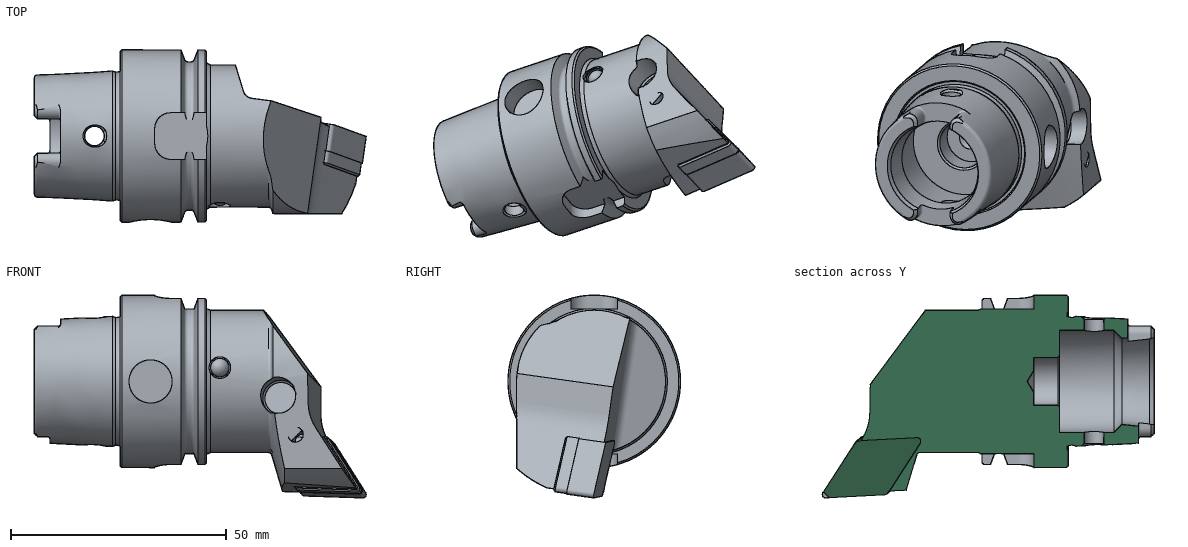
import cadquery as cq
import math

SHANK_LENGTH = 19.9
SHANK_END_RADIUS = 14.2
SHANK_BASE_RADIUS = 15.1
SHANK_END_FILLET = 0.8
RELIEF_START = -1.8
RELIEF_FLAT_START = -1.05
RELIEF_FLAT_END = -0.55
RELIEF_RADIUS = 14.85
FACE_RECESS_RADIUS = 16.1
FACE_RECESS_DEPTH = 0.3

FLANGE_RADIUS = 20.0
FLANGE_END = 20.0
FLANGE_CHAMFER = 0.4
GROOVE_START = 14.1
GROOVE_END = 18.0
GROOVE_WALL_RUN = 1.05
GROOVE_FLOOR_RADIUS = 17.2
GROOVE_FLOOR_FILLET = 0.7

NECK_RADIUS = 16.5
NECK_ROOT_STEP = 0.9

MOUTH_RADIUS = 11.1
MOUTH_CHAMFER = 1.1
BORE_RADIUS = 10.6
BORE_TAPER_END_X = -12.4
LIP_RADIUS = 9.95
UNDERCUT_RADIUS = 11.8
FLOOR_X = 2.0
DUCT_RADIUS = 5.5
DUCT_CHAMFER = 0.45
DUCT_END_X = 8.0
DRILL_RADIUS = 2.5
DRILL_POINT_LENGTH = 1.5

SLOT_HALF_WIDTH = 3.95
SLOT_EDGE_RADIUS = 2.0
SLOT_EDGE_HEIGHT = 12.85
SLOT_EDGE_SLOPE = 19.0
SLOT_MOUTH_CHAMFER = 0.8
SLOT_FLOOR_FILLET = 0.5
TOP_SLOT_DEPTH = 6.1
BOTTOM_SLOT_DEPTH = 3.6

CROSS_HOLE_X = -5.95
CROSS_HOLE_RADIUS = 2.25
CROSS_HOLE_CHAMFER = 0.6
CROSS_HOLE_RIM_Z = 14.35

KEYWAY_START = 8.0
KEYWAY_WIDTH = 10.8
KEYWAY_CORNER_RADIUS = 3.7
KEYWAY_FLOOR = 16.8

CHIP_HOLE_X = 7.05
CHIP_HOLE_RADIUS = 5.0
CHIP_HOLE_DEPTH = 4.6

BALL_X = 23.1
BALL_Z = 3.2
BALL_RADIUS = 2.15
BALL_RIM_RADIUS = 2.5
BALL_RIM_START = 15.35
BALL_TOP = 16.1

HEAD_START = 34.9
HEAD_CONE_ANGLE = 16.7
HEAD_ROOT_FILLET = 0.75
HEAD_SIDE = 18.0
HEAD_RADIUS = 27.0

TIP_X = 57.0
TIP_Z = -27.0
RAKE_TILT = 8.0
END_CLEARANCE = 3.0

INSERT_ANGLE = 55.0
INSERT_CIRCLE = 12.7
INSERT_THICKNESS = 6.35
INSERT_NOSE_RADIUS = 0.8
SHIM_THICKNESS = 3.18
SHIM_SETBACK = 0.3
SHIM_CHAMFER = 0.4

FACE_BELOW_RAKE = 0.5
FLANK_INSET = 0.85
BOTTOM_INSET = 0.8

STEP_U = -9.7
STEP_TOP_V = 25.3
SLOPE_ANGLE = 54.1
STEP_FILLET = 11.0

SHOULDER_X = 26.7
SHOULDER_LEAN = 17.0
SHOULDER_FILLET = 2.5

SIDE_HOLE_U = -16.65
SIDE_HOLE_V = 20.3
SIDE_HOLE_RADIUS = 4.15
SIDE_HOLE_BOTTOM = 18.3
SIDE_HOLE_CHAMFER = 0.45

LEVER_HOLE_U = -12.75
LEVER_HOLE_V = 11.3
LEVER_HOLE_RADIUS = 1.75
LEVER_HOLE_END = 21.65

FAR = 100.0


tilt = math.tan(math.radians(RAKE_TILT))
w_axis = cq.Vector(-tilt, -1, tilt).normalized()
v_axis = cq.Vector(0, tilt, 1).normalized()
u_axis = v_axis.cross(w_axis)
nose_reach = INSERT_NOSE_RADIUS * math.sqrt(1 - w_axis.x**2)
nose_origin = (TIP_X - nose_reach, 0, TIP_Z + nose_reach)
rake_plane = cq.Plane(origin=nose_origin, xDir=u_axis, normal=w_axis)


def at_depth(depth):
    return cq.Workplane(rake_plane).workplane(offset=depth)


def direction(angle):
    return math.cos(math.radians(angle)), math.sin(math.radians(angle))


def along(start, heading, distance):
    return start[0] + distance * heading[0], start[1] + distance * heading[1]


def meet(start_a, heading_a, start_b, heading_b):
    """Point where two lines cross."""
    cross = heading_a[0] * heading_b[1] - heading_a[1] * heading_b[0]
    gap = (start_b[0] - start_a[0], start_b[1] - start_a[1])
    distance = (gap[0] * heading_b[1] - gap[1] * heading_b[0]) / cross
    return along(start_a, heading_a, distance)


bottom_edge = direction(180 - END_CLEARANCE)
flank_edge = direction(180 - END_CLEARANCE - INSERT_ANGLE)
bisector = direction(180 - END_CLEARANCE - INSERT_ANGLE / 2)
flank_inward = direction(270 - END_CLEARANCE - INSERT_ANGLE)
bottom_inward = direction(90 - END_CLEARANCE)

half_angle_sine = math.sin(math.radians(INSERT_ANGLE / 2))
insert_edge = INSERT_CIRCLE / math.sin(math.radians(INSERT_ANGLE))
nose_centre = (0, 0)
sharp_tip = along(nose_centre, bisector, -INSERT_NOSE_RADIUS / half_angle_sine)


def rhombus(corner, depth, thickness):
    right = along(corner, flank_edge, insert_edge)
    left = along(corner, bottom_edge, insert_edge)
    far_corner = along(right, bottom_edge, insert_edge)
    return (
        at_depth(depth)
        .polyline([corner, right, far_corner, left]).close()
        .extrude(thickness)
        .edges(cq.selectors.ParallelDirSelector(w_axis))
        .fillet(INSERT_NOSE_RADIUS)
    )


shim_corner = along(sharp_tip, bisector, SHIM_SETBACK)
seat_depth = INSERT_THICKNESS + SHIM_THICKNESS


def make_insert():
    return rhombus(sharp_tip, 0, INSERT_THICKNESS)


def make_shim():
    blank = rhombus(shim_corner, INSERT_THICKNESS, SHIM_THICKNESS)
    return blank.faces(cq.selectors.DirectionMinMaxSelector(w_axis)).chamfer(SHIM_CHAMFER)


ball_centre_y = BALL_RADIUS - BALL_TOP


def make_ball():
    return cq.Workplane("XY").sphere(BALL_RADIUS).translate((BALL_X, ball_centre_y, BALL_Z))


def revolve_about_x(outline):
    return outline.close().revolve(360, (0, 0, 0), (1, 0, 0))


def make_turned_body():
    outline = (
        cq.Workplane("XZ")
        .moveTo(-SHANK_LENGTH, 0)
        .lineTo(-SHANK_LENGTH, SHANK_END_RADIUS - SHANK_END_FILLET)
        .radiusArc((SHANK_END_FILLET - SHANK_LENGTH, SHANK_END_RADIUS), SHANK_END_FILLET)
        .lineTo(RELIEF_START, SHANK_BASE_RADIUS)
        .lineTo(RELIEF_FLAT_START, RELIEF_RADIUS)
        .lineTo(RELIEF_FLAT_END, RELIEF_RADIUS)
        .lineTo(FACE_RECESS_DEPTH, SHANK_BASE_RADIUS)
        .lineTo(FACE_RECESS_DEPTH, FACE_RECESS_RADIUS - FACE_RECESS_DEPTH)
        .lineTo(0, FACE_RECESS_RADIUS)
        .lineTo(0, FLANGE_RADIUS - FLANGE_CHAMFER)
        .lineTo(FLANGE_CHAMFER, FLANGE_RADIUS)
        .lineTo(GROOVE_START, FLANGE_RADIUS)
        .lineTo(GROOVE_START + GROOVE_WALL_RUN, GROOVE_FLOOR_RADIUS)
        .lineTo(GROOVE_END - GROOVE_WALL_RUN, GROOVE_FLOOR_RADIUS)
        .lineTo(GROOVE_END, FLANGE_RADIUS)
        .lineTo(FLANGE_END - FLANGE_CHAMFER, FLANGE_RADIUS)
        .lineTo(FLANGE_END, FLANGE_RADIUS - FLANGE_CHAMFER)
        .lineTo(FLANGE_END, NECK_RADIUS + NECK_ROOT_STEP / 2)
        .lineTo(FLANGE_END + NECK_ROOT_STEP, NECK_RADIUS)
        .lineTo(HEAD_START, NECK_RADIUS)
        .lineTo(HEAD_START, 0)
    )
    groove_floor = cq.selectors.BoxSelector((GROOVE_START, -1, -1), (GROOVE_END, 1, 1))
    smallest_circles = cq.selectors.RadiusNthSelector(0)
    body = revolve_about_x(outline)
    return body.edges(groove_floor).edges(smallest_circles).fillet(GROOVE_FLOOR_FILLET)


def make_head_blank():
    """Conical back, R18 crown above the axis, flat side and R27 belly below it."""
    lean = math.radians(HEAD_CONE_ANGLE)
    belly_start = HEAD_START + (HEAD_RADIUS - NECK_RADIUS) * math.tan(lean)
    trim = HEAD_ROOT_FILLET * math.tan((math.pi / 2 - lean) / 2)
    root_start = (HEAD_START - trim, NECK_RADIUS)
    root_end = (HEAD_START + trim * math.sin(lean), NECK_RADIUS + trim * math.cos(lean))
    cone = revolve_about_x(
        cq.Workplane("XZ")
        .moveTo(root_start[0], 0)
        .lineTo(*root_start)
        .radiusArc(root_end, -HEAD_ROOT_FILLET)
        .lineTo(belly_start, HEAD_RADIUS)
        .lineTo(FAR, HEAD_RADIUS)
        .lineTo(FAR, 0)
    )
    crown = cq.Workplane("YZ").circle(HEAD_SIDE).extrude(FAR)
    belly = cq.Workplane("XY").box(FAR, FAR, FAR, centered=False).translate((0, -HEAD_SIDE, -FAR))
    return cone.intersect(crown.union(belly))


def make_head_prism():
    """Prism along W that trims the slope, the step, the flank and the bottom of the head."""
    slope = direction(180 - SLOPE_ANGLE)
    step_top = (STEP_U, STEP_TOP_V)
    flank_point = along(nose_centre, flank_inward, FLANK_INSET - INSERT_NOSE_RADIUS)
    bottom_point = along(nose_centre, bottom_inward, BOTTOM_INSET - INSERT_NOSE_RADIUS)
    step_bottom = meet(step_top, (0, -1), flank_point, flank_edge)
    nose = meet(flank_point, flank_edge, bottom_point, bottom_edge)
    tail = along(nose, bottom_edge, FAR)
    outline = [nose, step_bottom, step_top, along(step_top, slope, FAR), (tail[0], FAR), tail]
    prism = at_depth(-FAR).polyline(outline).close().extrude(2 * FAR)
    step_line = cq.selectors.NearestToPointSelector(rake_plane.toWorldCoords((*step_bottom, 0)))
    return prism.edges(step_line).fillet(STEP_FILLET)


def make_shoulder_cut():
    """Clears the +Y side from a leaning shoulder down to a face parallel to the rake face."""
    face_normal = -w_axis
    wall_normal = cq.Vector(*direction(SHOULDER_LEAN))
    corner_line = wall_normal.cross(face_normal).normalized()
    face_heading = face_normal.cross(corner_line)
    wall_heading = corner_line.cross(wall_normal)
    neck_point = cq.Vector(SHOULDER_X, NECK_RADIUS, 0)
    height = FACE_BELOW_RAKE - w_axis.dot(neck_point - rake_plane.origin)
    corner = neck_point - wall_heading * (height / wall_heading.dot(face_normal))
    wall_top = wall_heading.dot(face_heading) * FAR, wall_heading.dot(face_normal) * FAR
    return (
        cq.Workplane(cq.Plane(origin=corner, xDir=face_heading, normal=corner_line))
        .polyline([(0, 0), (FAR, 0), (FAR, FAR), wall_top]).close()
        .extrude(FAR, both=True)
        .edges(cq.selectors.NearestToPointSelector(corner))
        .fillet(SHOULDER_FILLET)
    )


def make_bore():
    outline = (
        cq.Workplane("XZ")
        .moveTo(-SHANK_LENGTH, 0)
        .lineTo(-SHANK_LENGTH, MOUTH_RADIUS)
        .lineTo(MOUTH_CHAMFER - SHANK_LENGTH, BORE_RADIUS)
        .lineTo(BORE_TAPER_END_X, LIP_RADIUS)
        .lineTo(BORE_TAPER_END_X + UNDERCUT_RADIUS - LIP_RADIUS, UNDERCUT_RADIUS)
        .lineTo(FLOOR_X, UNDERCUT_RADIUS)
        .lineTo(FLOOR_X, DUCT_RADIUS + DUCT_CHAMFER)
        .lineTo(FLOOR_X + DUCT_CHAMFER, DUCT_RADIUS)
        .lineTo(DUCT_END_X, DUCT_RADIUS)
        .lineTo(DUCT_END_X, DRILL_RADIUS)
        .lineTo(DUCT_END_X + DRILL_POINT_LENGTH, 0)
    )
    return revolve_about_x(outline)


def make_drive_slot(depth):
    """Slot in the +Z side of the shank end, with rounded outer edges."""
    slope = math.radians(SLOT_EDGE_SLOPE)
    edge_start = SLOT_EDGE_HEIGHT - SLOT_EDGE_RADIUS
    crest_y = SLOT_HALF_WIDTH + SLOT_EDGE_RADIUS + SLOT_EDGE_RADIUS * math.sin(slope)
    crest_z = edge_start + SLOT_EDGE_RADIUS * math.cos(slope)
    outer_z = crest_z - (FLANGE_RADIUS - crest_y) * math.tan(slope)
    slot_end = cq.Workplane("YZ", origin=(-SHANK_LENGTH, 0, 0))
    profile = (
        slot_end
        .moveTo(-SLOT_HALF_WIDTH, 0)
        .lineTo(-SLOT_HALF_WIDTH, edge_start)
        .radiusArc((-crest_y, crest_z), -SLOT_EDGE_RADIUS)
        .lineTo(-FLANGE_RADIUS, outer_z)
        .lineTo(-FLANGE_RADIUS, FLANGE_RADIUS)
        .lineTo(FLANGE_RADIUS, FLANGE_RADIUS)
        .lineTo(FLANGE_RADIUS, outer_z)
        .lineTo(crest_y, crest_z)
        .radiusArc((SLOT_HALF_WIDTH, edge_start), -SLOT_EDGE_RADIUS)
        .lineTo(SLOT_HALF_WIDTH, 0)
        .close()
    )
    slot = profile.extrude(depth).faces(">X").edges().fillet(SLOT_FLOOR_FILLET)
    outline = slot.faces("<X").wires().vals()
    mouth = slot_end.newObject(outline).toPending().offset2D(SLOT_MOUTH_CHAMFER)
    return slot.union(mouth.extrude(SLOT_MOUTH_CHAMFER, taper=45))


def make_cross_hole():
    hole = cq.Workplane("XY", origin=(CROSS_HOLE_X, 0, -FAR / 2)).circle(CROSS_HOLE_RADIUS).extrude(FAR)
    rim = (
        cq.Workplane("XY", origin=(CROSS_HOLE_X, 0, CROSS_HOLE_RIM_Z))
        .circle(CROSS_HOLE_RADIUS)
        .extrude(CROSS_HOLE_CHAMFER, taper=-45)
    )
    return hole.union(rim).union(rim.mirror("XY"))


def make_keyway():
    """Keyway across the top of the flange, open toward the neck."""
    return (
        cq.Workplane("XY", origin=(KEYWAY_START, 0, KEYWAY_FLOOR))
        .rect(2 * (FLANGE_END - KEYWAY_START), KEYWAY_WIDTH)
        .extrude(FLANGE_RADIUS)
        .translate((FLANGE_END - KEYWAY_START, 0, 0))
        .edges("|Z and <X")
        .fillet(KEYWAY_CORNER_RADIUS)
    )


def make_chip_hole():
    start = (CHIP_HOLE_X, CHIP_HOLE_DEPTH - FLANGE_RADIUS, 0)
    return cq.Workplane("XZ", origin=start).circle(CHIP_HOLE_RADIUS).extrude(FLANGE_RADIUS)


def make_ball_socket():
    start = (BALL_X, ball_centre_y, BALL_Z)
    bore = cq.Workplane("XZ", origin=start).circle(BALL_RADIUS).extrude(FLANGE_RADIUS)
    rim = (
        cq.Workplane("XZ", origin=(BALL_X, -BALL_RIM_START, BALL_Z))
        .circle(BALL_RIM_RADIUS)
        .extrude(FLANGE_RADIUS)
    )
    return bore.union(rim).union(make_ball())


def make_side_hole():
    return (
        at_depth(SIDE_HOLE_BOTTOM)
        .center(SIDE_HOLE_U, SIDE_HOLE_V)
        .circle(SIDE_HOLE_RADIUS)
        .extrude(FLANGE_RADIUS)
        .faces(cq.selectors.DirectionMinMaxSelector(w_axis, False))
        .chamfer(SIDE_HOLE_CHAMFER)
    )


def make_lever_hole():
    return (
        at_depth(seat_depth)
        .center(LEVER_HOLE_U, LEVER_HOLE_V)
        .circle(LEVER_HOLE_RADIUS)
        .extrude(LEVER_HOLE_END - seat_depth)
    )


insert = make_insert()
shim = make_shim()
ball = make_ball()

holder = make_turned_body().union(make_head_blank())
holder = holder.intersect(make_head_prism()).cut(make_shoulder_cut())
holder = holder.cut(make_bore())
for cutter in [make_drive_slot(TOP_SLOT_DEPTH), make_drive_slot(BOTTOM_SLOT_DEPTH).mirror("XY")]:
    holder = holder.cut(cutter)
keyway = make_keyway()
for cutter in [keyway, keyway.mirror("XY"), make_cross_hole(), make_chip_hole(), make_ball_socket()]:
    holder = holder.cut(cutter)
for cutter in [make_side_hole(), make_lever_hole(), insert, shim]:
    holder = holder.cut(cutter)

result = cq.Compound.makeCompound([holder.val(), insert.val(), shim.val(), ball.val()])